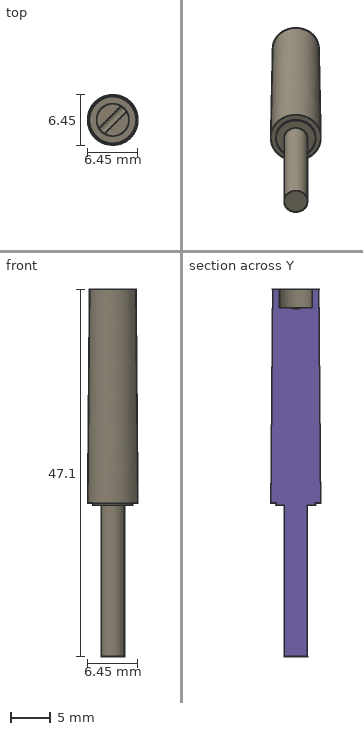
import cadquery as cq

total_length = 47.1
collar_bottom = 19.4
sleeve_bottom = 19.7

pin_diameter = 3.0
collar_diameter = 5.1
sleeve_bottom_diameter = 6.45
sleeve_top_diameter = 6.0
bore_diameter = 4.15

bore_depth = 2.35
slot_width = 1.0
slot_depth = 0.15
slot_angle = 45.0


def stepped_body():
    """Pin, collar and tapered sleeve turned about the Z axis."""
    return (
        cq.Workplane("XZ")
        .moveTo(0, 0)
        .lineTo(pin_diameter / 2, 0)
        .lineTo(pin_diameter / 2, collar_bottom)
        .lineTo(collar_diameter / 2, collar_bottom)
        .lineTo(collar_diameter / 2, sleeve_bottom)
        .lineTo(sleeve_bottom_diameter / 2, sleeve_bottom)
        .lineTo(sleeve_top_diameter / 2, total_length)
        .lineTo(0, total_length)
        .close()
        .revolve(360, (0, 0, 0), (0, 1, 0))
    )


def top_bore():
    """Flat-bottomed bore in the top of the sleeve."""
    return (
        cq.Workplane("XY", origin=(0, 0, total_length - bore_depth))
        .circle(bore_diameter / 2)
        .extrude(bore_depth)
    )


def driver_slot():
    """Diagonal shallow round-bottomed slot in the bore floor, ending at the bore wall."""
    floor_height = total_length - bore_depth
    groove = (
        cq.Workplane("YZ", origin=(0, 0, floor_height))
        .moveTo(-slot_width / 2, 0)
        .threePointArc((0, -slot_depth), (slot_width / 2, 0))
        .close()
        .extrude(bore_diameter / 2, both=True)
        .rotate((0, 0, 0), (0, 0, 1), slot_angle)
    )
    bore_column = (
        cq.Workplane("XY", origin=(0, 0, floor_height - slot_depth))
        .circle(bore_diameter / 2)
        .extrude(slot_depth)
    )
    return groove.intersect(bore_column)


result = stepped_body().cut(top_bore()).cut(driver_slot())